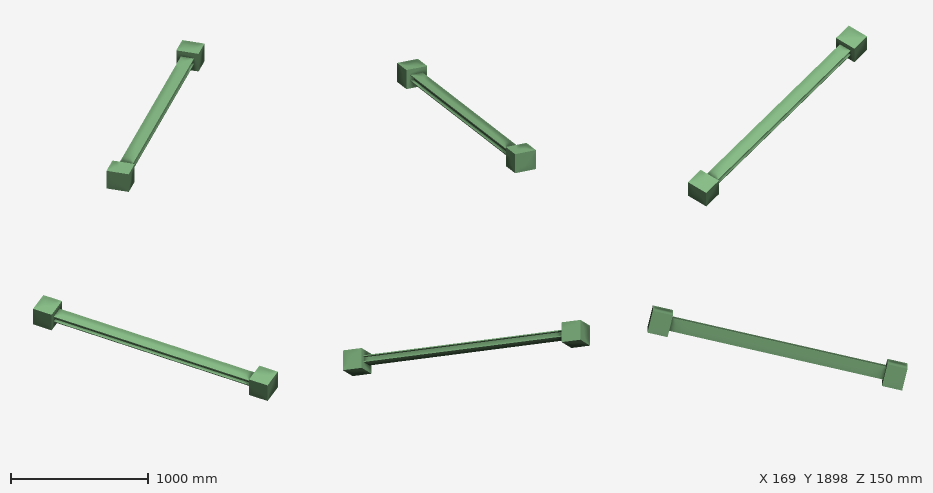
import cadquery as cq

total_length = 1898.0
block_width = 169.0
block_height = 150.0
block_length = block_height

beam_width = 99.0
beam_height = 51.0
flange_thickness = 8.0
web_thickness = 47.0
beam_rise = 4.0

beam_length = total_length - 2 * block_length


def end_block(side):
    """Solid block at the -Y end (side = -1) or the +Y end (side = 1)."""
    center_y = side * (total_length - block_length) / 2
    block = cq.Workplane("XY").box(block_width, block_length, block_height)
    return block.translate((0, center_y, 0))


def beam():
    """Vertical web with a horizontal flange along its top and bottom."""
    section = cq.Workplane("XY").box(web_thickness, beam_length, beam_height)
    flange_z = (beam_height - flange_thickness) / 2
    for side in (-1, 1):
        flange = cq.Workplane("XY").box(beam_width, beam_length, flange_thickness)
        section = section.union(flange.translate((0, 0, side * flange_z)))
    return section.translate((0, 0, beam_rise))


result = beam()
for end in (-1, 1):
    result = result.union(end_block(end))